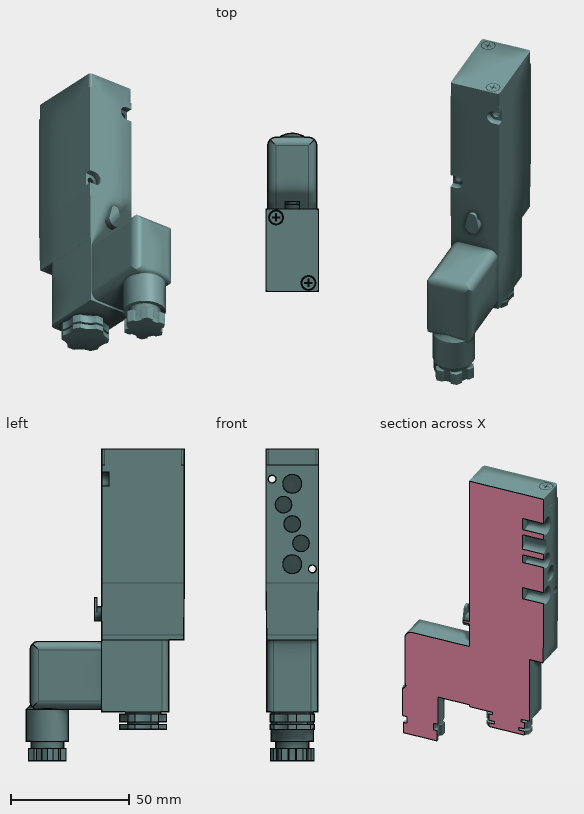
import cadquery as cq
import math


body_width = 22.3
body_depth = 35.0
body_height = 50.0
cap_height = 6.8
cap_front_setback = 0.05
cap_corner_radius = 1.1

body_mid_z = body_height / 2
exhaust_port_diameter = 8.0
exhaust_port_offset_z = 17.0
working_port_diameter = 7.0
working_port_offset_x = 3.7
working_port_offset_z = 8.2
port_depth = 10.0
mount_hole_diameter = 3.2
mount_hole_offset_x = 8.5
mount_hole_offset_z = 19.0
mount_slot_width = 6.0
mount_slot_depth = 3.0

screw_offset_x = 6.85
screw_edge_distance = 3.65
screw_recess_diameter = 6.2
screw_head_diameter = 5.5
screw_gap_depth = 1.0
cross_length = 3.2
cross_width = 0.5
cross_depth = 1.0

pilot_height = 22.0
plate_height = 2.0
pilot_end_width = 21.7
pilot_end_depth = 34.7

lever_pivot_radius = 3.1
lever_pivot_z = -13.0
lever_length = 10.0
lever_tip_radius = 1.9
lever_projection = 3.1
lever_thickness = 1.2

coil_width = 21.6
coil_depth = 28.4
coil_height = 30.4
coil_edge_radius = 2.8

nut_center_y = body_depth / 2
nut_lobes = 6
nut_tip_radius = 10.0
nut_root_radius = 8.6
nut_lobe_half_angle = 10.0
collar_diameter = 15.0
collar_height = 1.0
upper_nut_height = 3.3
nut_gap_diameter = 13.0
nut_gap_height = 1.0
lower_nut_height = 2.1

plug_width = 20.8
plug_length = 30.3
plug_height = 28.9
plug_drop = 0.6
plug_edge_radius = 3.6

gland_diameter = 18.0
gland_center_y = body_depth + 23.0
gland_length = 13.4
gland_cone_height = 4.0
gland_neck_diameter = 14.0
gland_neck_length = 3.0
gland_nut_length = 5.3
gland_nut_flats = 16.0
gland_nut_sides = 6
gland_groove_width = 3.7
gland_groove_floor_width = 2.7
gland_groove_depth = 1.0

cap_top_z = body_height + cap_height
pilot_bottom_z = -pilot_height
plate_bottom_z = pilot_bottom_z - plate_height
coil_bottom_z = plate_bottom_z - coil_height
plug_top_z = plate_bottom_z - plug_drop
plug_bottom_z = plug_top_z - plug_height


def block(width, y_start, y_end, z_bottom, height):
    """Box centred on X = 0."""
    depth = y_end - y_start
    return (
        cq.Workplane("XY", origin=(0, (y_start + y_end) / 2, z_bottom))
        .box(width, depth, height, centered=(True, True, False))
    )


def disc(diameter, center_y, z_bottom, height):
    """Upright cylinder on X = 0."""
    return cq.Workplane("XY", origin=(0, center_y, z_bottom)).circle(diameter / 2).extrude(height)


def bore(x, z, diameter, depth):
    """Cylinder running back from the front face."""
    return cq.Workplane("XZ", origin=(x, 0, z)).circle(diameter / 2).extrude(-depth)


def polar(radius, degrees):
    angle = math.radians(degrees)
    return (radius * math.cos(angle), radius * math.sin(angle))


def mount_slot(side):
    """U-shaped slot in the back face, round at the mounting hole and open to one side."""
    hole_x = side * mount_hole_offset_x
    hole_z = body_mid_z - side * mount_hole_offset_z
    slot_y = body_depth - mount_slot_depth
    round_end = (
        cq.Workplane("XZ", origin=(hole_x, slot_y, hole_z))
        .circle(mount_slot_width / 2)
        .extrude(-mount_slot_depth)
    )
    open_end = (
        cq.Workplane("XZ", origin=(hole_x + side * mount_slot_width / 2, slot_y, hole_z))
        .rect(mount_slot_width, mount_slot_width)
        .extrude(-mount_slot_depth)
    )
    return round_end.union(open_end)


def valve_body():
    body = block(body_width, 0, body_depth, 0, body_height)
    for side in (-1, 1):
        exhaust_z = body_mid_z + side * exhaust_port_offset_z
        working_x = side * working_port_offset_x
        working_z = body_mid_z - side * working_port_offset_z
        mount_x = side * mount_hole_offset_x
        mount_z = body_mid_z - side * mount_hole_offset_z
        body = body.cut(bore(0, exhaust_z, exhaust_port_diameter, port_depth))
        body = body.cut(bore(working_x, working_z, working_port_diameter, port_depth))
        body = body.cut(bore(mount_x, mount_z, mount_hole_diameter, body_depth))
        body = body.cut(mount_slot(side))
    return body.cut(bore(0, body_mid_z, working_port_diameter, port_depth))


def end_cap():
    cap = block(body_width, cap_front_setback, body_depth, body_height, cap_height)
    cap = cap.edges("|Z").fillet(cap_corner_radius)
    screw_points = [
        (-screw_offset_x, body_depth - screw_edge_distance),
        (screw_offset_x, screw_edge_distance),
    ]
    top = cq.Workplane("XY", origin=(0, 0, cap_top_z)).pushPoints(screw_points)
    head_gap = (
        top.circle(screw_recess_diameter / 2)
        .circle(screw_head_diameter / 2)
        .extrude(-screw_gap_depth)
    )
    cross = top.rect(cross_length, cross_width).extrude(-cross_depth)
    cross = cross.union(top.rect(cross_width, cross_length).extrude(-cross_depth))
    return cap.cut(head_gap).cut(cross)


def pilot_block():
    end_shift = (body_depth - pilot_end_depth) / 2
    pilot = (
        cq.Workplane("XY", origin=(0, body_depth / 2, 0))
        .rect(body_width, body_depth)
        .workplane(offset=-pilot_height)
        .center(0, end_shift)
        .rect(pilot_end_width, pilot_end_depth)
        .loft(ruled=True)
    )
    plate_front_y = body_depth - pilot_end_depth
    plate = block(pilot_end_width, plate_front_y, body_depth, plate_bottom_z, plate_height)
    return pilot.union(plate)


def override_lever():
    """Round pivot carrying an upright arm that narrows to a round tip."""
    pivot = (
        cq.Workplane("XZ", origin=(0, body_depth, lever_pivot_z))
        .circle(lever_pivot_radius)
        .extrude(-lever_projection)
    )
    tip_center_z = lever_length - lever_pivot_radius - lever_tip_radius
    side_angle = math.degrees(math.asin((lever_pivot_radius - lever_tip_radius) / tip_center_z))
    pivot_right = polar(lever_pivot_radius, side_angle)
    pivot_left = polar(lever_pivot_radius, 180 - side_angle)
    tip_x, tip_rise = polar(lever_tip_radius, side_angle)
    tip_z = tip_center_z + tip_rise
    arm_y = body_depth + lever_projection - lever_thickness
    arm = (
        cq.Workplane("XZ", origin=(0, arm_y, lever_pivot_z))
        .moveTo(*pivot_right)
        .lineTo(tip_x, tip_z)
        .threePointArc((0, tip_center_z + lever_tip_radius), (-tip_x, tip_z))
        .lineTo(*pivot_left)
        .threePointArc((0, -lever_pivot_radius), pivot_right)
        .close()
        .extrude(-lever_thickness)
    )
    return pivot.union(arm)


def coil():
    coil_front_y = body_depth - coil_depth
    housing = block(coil_width, coil_front_y, body_depth, coil_bottom_z, coil_height)
    return housing.edges("|Z and <Y").fillet(coil_edge_radius)


def star_nut(z_bottom, height):
    """Nut with round lobe tips joined by hollow arcs, one lobe pointing to the back."""
    pitch = 360 / nut_lobes
    first_lobe = 90
    outline = cq.Workplane("XY", origin=(0, nut_center_y, z_bottom))
    outline = outline.moveTo(*polar(nut_tip_radius, first_lobe - nut_lobe_half_angle))
    for index in range(nut_lobes):
        lobe = first_lobe + index * pitch
        tip = polar(nut_tip_radius, lobe)
        tip_end = polar(nut_tip_radius, lobe + nut_lobe_half_angle)
        root = polar(nut_root_radius, lobe + pitch / 2)
        next_tip_start = polar(nut_tip_radius, lobe + pitch - nut_lobe_half_angle)
        outline = outline.threePointArc(tip, tip_end).threePointArc(root, next_tip_start)
    return outline.close().extrude(height)


def coil_nuts():
    collar_z = coil_bottom_z - collar_height
    upper_nut_z = collar_z - upper_nut_height
    gap_z = upper_nut_z - nut_gap_height
    lower_nut_z = gap_z - lower_nut_height
    return (
        disc(collar_diameter, nut_center_y, collar_z, collar_height)
        .union(star_nut(upper_nut_z, upper_nut_height))
        .union(disc(nut_gap_diameter, nut_center_y, gap_z, nut_gap_height))
        .union(star_nut(lower_nut_z, lower_nut_height))
    )


def plug():
    """Plug housing as the common volume of three crossing round-edged bars, so edges meet in mitres."""
    plug_end_y = body_depth + plug_length
    blank = block(plug_width, body_depth, plug_end_y, plug_bottom_z, plug_height)
    long_bar = blank.edges("|Y").fillet(plug_edge_radius)
    cross_bar = blank.edges("|X and >Y").fillet(plug_edge_radius)
    upright_bar = blank.edges("|Z and >Y").fillet(plug_edge_radius)
    return long_bar.intersect(cross_bar).intersect(upright_bar)


def gland_nut(z_bottom):
    """Hexagonal nut with a tapered grip groove along the middle of each flat."""
    corner_diameter = gland_nut_flats / math.cos(math.pi / gland_nut_sides)
    nut = (
        cq.Workplane("XY", origin=(0, gland_center_y, z_bottom))
        .polygon(gland_nut_sides, corner_diameter)
        .extrude(gland_nut_length)
    )
    flat_x = gland_nut_flats / 2
    floor_x = flat_x - gland_groove_depth
    half_mouth = gland_groove_width / 2
    half_floor = gland_groove_floor_width / 2
    groove = (
        cq.Workplane("XY", origin=(0, gland_center_y, z_bottom))
        .moveTo(flat_x, -half_mouth)
        .lineTo(flat_x, half_mouth)
        .lineTo(floor_x, half_floor)
        .lineTo(floor_x, -half_floor)
        .close()
        .extrude(gland_nut_length)
    )
    axis_start = (0, gland_center_y, 0)
    axis_end = (0, gland_center_y, 1)
    side_angle = 360 / gland_nut_sides
    for index in range(gland_nut_sides):
        nut = nut.cut(groove.rotate(axis_start, axis_end, (index + 0.5) * side_angle))
    return nut


def cable_gland():
    barrel_z = plug_bottom_z - gland_length
    neck_z = barrel_z - gland_neck_length
    barrel = disc(gland_diameter, gland_center_y, barrel_z, gland_length + gland_cone_height)
    barrel = barrel.faces(">Z").chamfer(gland_cone_height)
    neck = disc(gland_neck_diameter, gland_center_y, neck_z, gland_neck_length)
    return barrel.union(neck).union(gland_nut(neck_z - gland_nut_length))


result = (
    valve_body()
    .union(end_cap())
    .union(pilot_block())
    .union(override_lever())
    .union(coil())
    .union(coil_nuts())
    .union(plug())
    .union(cable_gland())
)